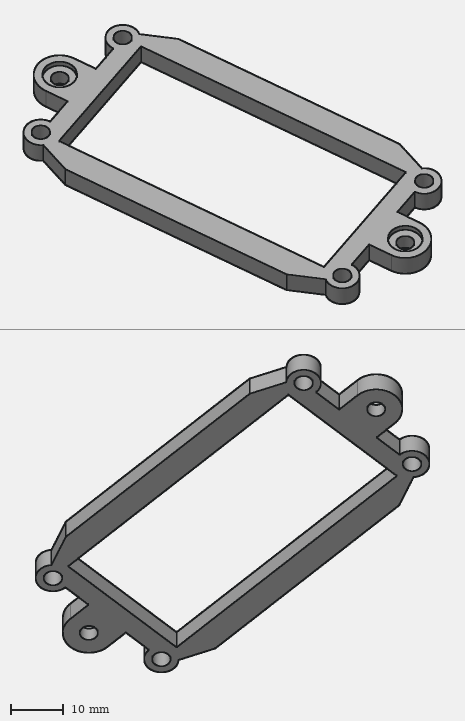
import cadquery as cq

thickness = 4.5
frame_width = 39.8
overall_length = 88.0
end_face_x = 34.1
long_edge_half = 25.0
taper_end_y = 16.0

window_length = 59.8
window_width = 28.9

boss_diameter = 6.6
boss_hole_diameter = 3.5
boss_y = window_width / 2

lug_width = 9.9
lug_center_x = (overall_length - lug_width) / 2
lug_hole_diameter = 3.4
counterbore_diameter = 6.6
counterbore_depth = 1.1

boss_points = [(sx * end_face_x, sy * boss_y) for sx in (-1, 1) for sy in (-1, 1)]
lug_points = [(-lug_center_x, 0), (lug_center_x, 0)]


def frame_blank():
    """Solid plate with four tapered corners."""
    half_width = frame_width / 2
    outline = [
        (-end_face_x, -taper_end_y),
        (-long_edge_half, -half_width),
        (long_edge_half, -half_width),
        (end_face_x, -taper_end_y),
        (end_face_x, taper_end_y),
        (long_edge_half, half_width),
        (-long_edge_half, half_width),
        (-end_face_x, taper_end_y),
    ]
    return cq.Workplane("XY").polyline(outline).close().extrude(thickness)


def lug_bar():
    """Round-ended bar whose two ends form the lugs."""
    return cq.Workplane("XY").slot2D(overall_length, lug_width).extrude(thickness)


def cylinders(points, diameter, height=thickness):
    """Upright cylinders standing on the bottom face."""
    return cq.Workplane("XY").pushPoints(points).circle(diameter / 2).extrude(height)


def window():
    """Rectangular opening through the plate."""
    return cq.Workplane("XY").rect(window_length, window_width).extrude(thickness)


def counterbores():
    """Recesses in the top faces of the lugs."""
    floor_z = thickness - counterbore_depth
    return cylinders(lug_points, counterbore_diameter, counterbore_depth).translate((0, 0, floor_z))


result = (
    frame_blank()
    .union(lug_bar())
    .union(cylinders(boss_points, boss_diameter))
    .cut(window())
    .cut(cylinders(boss_points, boss_hole_diameter))
    .cut(cylinders(lug_points, lug_hole_diameter))
    .cut(counterbores())
)